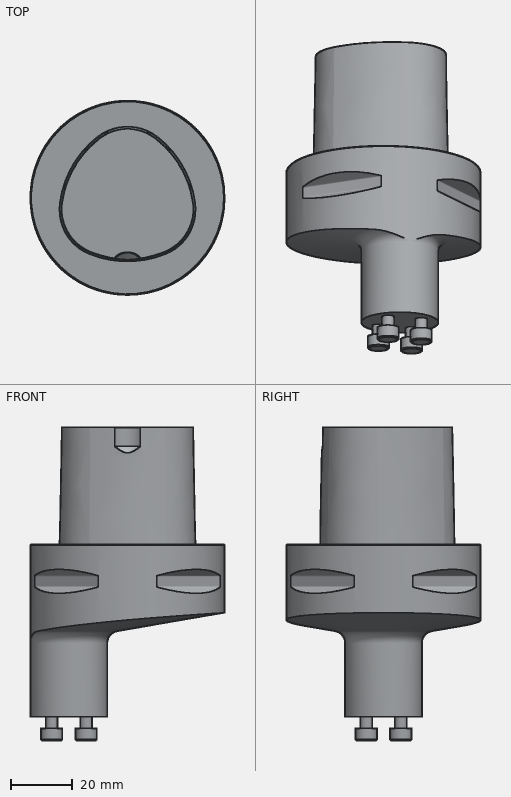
import cadquery as cq
import math

total_height = 101.6

flange_radius = 31.5
flange_chamfer = 0.3

shank_height = 38.0
shank_taper_angle = 1.1
lobe_reach = 23.1
lobe_radius = 15.6
flank_reach = 20.6
flank_angles = (30, 150, 270)
half_pitch_angle = 60

keyway_radius = 5.4
keyway_inner_y = -17.8
keyway_depth = 6.3
keyway_tip_angle = 42.0
keyway_chamfer = 0.2

neck_radius = 12.5
neck_end_z = -55.9
neck_x = neck_radius - flange_radius

rim_drop = 22.2
underside_angle = 9.8
neck_fillet = 3.8

groove_angles = (45, 135, 225, 315)
groove_z = -12.0
groove_floor_distance = 27.9
groove_floor_height = 3.7
groove_flank_angle = 30.0
groove_corner_radius = 0.5
groove_clearance = 1.0

screw_spacing = 11.2
screw_shaft_diameter = 4.0
screw_head_diameter = 7.0
screw_head_height = 4.0
screw_head_chamfer = 0.4
screw_end_z = shank_height - total_height


def polar(radius, degrees, center=(0, 0)):
    """Point at a distance and direction from a centre."""
    angle = math.radians(degrees)
    return (center[0] + radius * math.cos(angle), center[1] + radius * math.sin(angle))


def make_shank():
    """Three lobe arcs joined by three tangent flank arcs, one lobe pointing to +Y, tapering upward."""
    lobe_center_reach = lobe_reach - lobe_radius
    inner_reach = flank_reach - lobe_radius
    flank_center_reach = (lobe_center_reach**2 - inner_reach**2) / (2 * inner_reach - lobe_center_reach)
    flank_radius = flank_reach + flank_center_reach
    lobe_side = lobe_center_reach * math.sin(math.radians(half_pitch_angle))
    lobe_ahead = lobe_center_reach * math.cos(math.radians(half_pitch_angle))
    flank_half_angle = math.degrees(math.atan2(lobe_side, flank_center_reach + lobe_ahead))

    def flank_end(flank_angle, side):
        flank_center = polar(-flank_center_reach, flank_angle)
        return polar(flank_radius, flank_angle + side * flank_half_angle, flank_center)

    outline = cq.Workplane("XY").moveTo(*flank_end(flank_angles[0], -1))
    for flank_angle in flank_angles:
        lobe_angle = flank_angle + half_pitch_angle
        next_flank = lobe_angle + half_pitch_angle
        outline = outline.threePointArc(polar(flank_reach, flank_angle), flank_end(flank_angle, 1))
        outline = outline.threePointArc(polar(lobe_reach, lobe_angle), flank_end(next_flank, -1))
    return outline.close().extrude(shank_height, taper=shank_taper_angle)


def make_keyway():
    """Vertical drill hole with a conical tip and a chamfered mouth, its axis outside the shank."""
    tip_depth = keyway_radius * math.tan(math.radians(keyway_tip_angle))
    profile = (
        cq.Workplane("XZ")
        .lineTo(keyway_radius + keyway_chamfer, 0)
        .lineTo(keyway_radius, -keyway_chamfer)
        .lineTo(keyway_radius, -keyway_depth)
        .lineTo(0, -keyway_depth - tip_depth)
        .close()
    )
    hole = profile.revolve(360, (0, 0), (0, 1))
    return hole.translate((0, keyway_inner_y - keyway_radius, shank_height))


def make_flange():
    """Disc cut off below by a cone about the neck axis, blended into the neck by an arc."""
    slope = math.radians(underside_angle)
    far_reach = flange_radius - neck_x
    corner_z = -rim_drop - (far_reach - neck_radius) * math.tan(slope)
    tangent_length = neck_fillet / math.tan(math.pi / 4 + slope / 2)
    blend_z = corner_z - tangent_length
    blend_center = (neck_radius + neck_fillet, blend_z)
    cone_start = (
        neck_radius + tangent_length * math.cos(slope),
        corner_z + tangent_length * math.sin(slope),
    )
    blend_middle = polar(neck_fillet, (180 + 90 + underside_angle) / 2, blend_center)
    envelope = (
        cq.Workplane("XZ")
        .lineTo(0, blend_z)
        .lineTo(neck_radius, blend_z)
        .threePointArc(blend_middle, cone_start)
        .lineTo(far_reach, -rim_drop)
        .lineTo(far_reach, 0)
        .close()
        .revolve(360, (0, 0), (0, 1))
        .translate((neck_x, 0, 0))
    )
    disc = (
        cq.Workplane("XY")
        .circle(flange_radius)
        .extrude(blend_z)
        .faces(">Z")
        .edges()
        .chamfer(flange_chamfer)
    )
    neck = (
        cq.Workplane("XY", origin=(neck_x, 0, blend_z))
        .circle(neck_radius)
        .extrude(neck_end_z - blend_z)
    )
    return disc.intersect(envelope).union(neck)


def make_groove(angle):
    """Straight groove across the flange rim, with a flat floor and two sloping flanks."""
    mouth_distance = flange_radius + groove_clearance
    depth = mouth_distance - groove_floor_distance
    half_floor = groove_floor_height / 2
    half_mouth = half_floor + depth * math.tan(math.radians(groove_flank_angle))
    return (
        cq.Workplane("XZ")
        .polyline(
            [
                (groove_floor_distance, groove_z - half_floor),
                (mouth_distance, groove_z - half_mouth),
                (mouth_distance, groove_z + half_mouth),
                (groove_floor_distance, groove_z + half_floor),
            ]
        )
        .close()
        .extrude(flange_radius, both=True)
        .faces("<X")
        .edges("|Y")
        .fillet(groove_corner_radius)
        .rotate((0, 0, 0), (0, 0, 1), angle)
    )


def make_screws():
    """Four screws in a square pattern, heads down, standing out of the neck end."""
    places = cq.Workplane("XY", origin=(neck_x, 0, screw_end_z)).rarray(
        screw_spacing, screw_spacing, 2, 2
    )
    heads = places.circle(screw_head_diameter / 2).extrude(screw_head_height)
    heads = heads.faces("<Z").edges().chamfer(screw_head_chamfer)
    shafts = places.circle(screw_shaft_diameter / 2).extrude(neck_end_z - screw_end_z)
    return heads.union(shafts)


result = make_flange()
for groove_angle in groove_angles:
    result = result.cut(make_groove(groove_angle))
result = result.union(make_shank().cut(make_keyway())).union(make_screws())